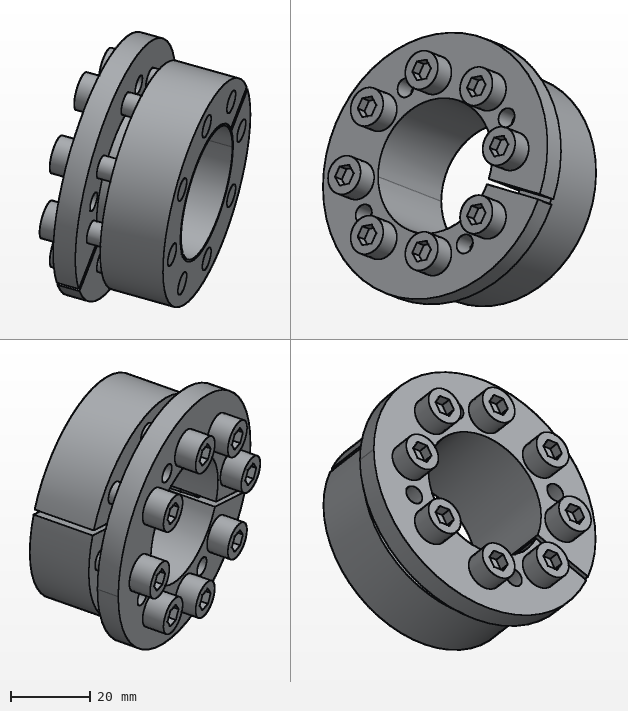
import cadquery as cq
import math


head_length = 6.0
flange_thickness = 6.0
gap_length = 4.95
outer_ring_length = 17.0

flange_start = head_length
flange_end = flange_start + flange_thickness
outer_ring_start = flange_end + gap_length
bush_end = outer_ring_start + outer_ring_length

flange_radius = 34.5
outer_ring_radius = 30.0
bore_radius = 17.5
taper_radius_at_flange = 19.85
taper_radius_at_end = 18.05
taper_slope = (taper_radius_at_end - taper_radius_at_flange) / (bush_end - flange_end)
taper_radius_at_outer_ring = taper_radius_at_flange + taper_slope * gap_length

slit_width = 1.4
slit_reach = 1.1 * flange_radius
outer_ring_slit_angle = 22.5
inner_ring_slit_angle = outer_ring_slit_angle + 180

screw_count = 8
screw_circle_radius = 23.7
head_diameter = 10.0
shank_diameter = 6.0
hex_across_flats = 4.95
hex_depth = 3.0
jack_hole_count = 4
jack_hole_diameter = 4.95
first_jack_hole_angle = -22.5


def circle_points(count, first_angle):
    """(y, z) places spaced evenly round the screw circle."""
    angles = [math.radians(first_angle + i * 360 / count) for i in range(count)]
    return [(screw_circle_radius * math.cos(a), screw_circle_radius * math.sin(a)) for a in angles]


def cross_plane(x):
    """Workplane across the axis at x, with local axes along Y and Z."""
    return cq.Workplane("YZ", origin=(x, 0, 0))


def revolve_about_axis(profile):
    """Turn a closed (x, radius) profile round the X axis."""
    return cq.Workplane("XY").polyline(profile).close().revolve(360, (0, 0, 0), (1, 0, 0))


def round_bars(x_start, x_end, diameter, places):
    """Parallel cylinders along X, used to cut holes."""
    return cross_plane(x_start).pushPoints(places).circle(diameter / 2).extrude(x_end - x_start)


def slit_cutter(angle):
    """Radial slab, open outwards from the axis, along the whole bush."""
    slab = cq.Workplane("XY").box(bush_end, slit_reach, slit_width, centered=(False, False, True))
    return slab.rotate((0, 0, 0), (1, 0, 0), angle)


screw_places = circle_points(screw_count, 0)
jack_hole_places = circle_points(jack_hole_count, first_jack_hole_angle)
screw_holes = round_bars(flange_start, bush_end, shank_diameter, screw_places)


def make_inner_ring():
    """Flange and tapered sleeve, slit along one side."""
    ring = revolve_about_axis([
        (flange_start, bore_radius),
        (flange_start, flange_radius),
        (flange_end, flange_radius),
        (flange_end, taper_radius_at_flange),
        (bush_end, taper_radius_at_end),
        (bush_end, bore_radius),
    ])
    jack_holes = round_bars(flange_start, flange_end, jack_hole_diameter, jack_hole_places)
    return ring.cut(screw_holes).cut(jack_holes).cut(slit_cutter(inner_ring_slit_angle))


def make_outer_ring():
    """Plain ring with a taper bore that fits the sleeve, slit opposite the inner ring's slit."""
    ring = revolve_about_axis([
        (outer_ring_start, taper_radius_at_outer_ring),
        (outer_ring_start, outer_ring_radius),
        (bush_end, outer_ring_radius),
        (bush_end, taper_radius_at_end),
    ])
    return ring.cut(screw_holes).cut(slit_cutter(outer_ring_slit_angle))


def make_screw(y, z):
    """Socket head screw reaching from its head to the far face of the outer ring."""
    head = cross_plane(0).circle(head_diameter / 2).extrude(head_length)
    shank = cross_plane(flange_start).circle(shank_diameter / 2).extrude(bush_end - flange_start)
    hex_across_corners = hex_across_flats / math.cos(math.radians(30))
    socket = cross_plane(0).polygon(6, hex_across_corners).extrude(hex_depth)
    return head.union(shank).cut(socket).translate((0, y, z))


inner_ring = make_inner_ring()
outer_ring = make_outer_ring()
screws = [make_screw(y, z) for y, z in screw_places]

result = cq.Compound.makeCompound([
    inner_ring.val(),
    outer_ring.val(),
    *[screw.val() for screw in screws],
])